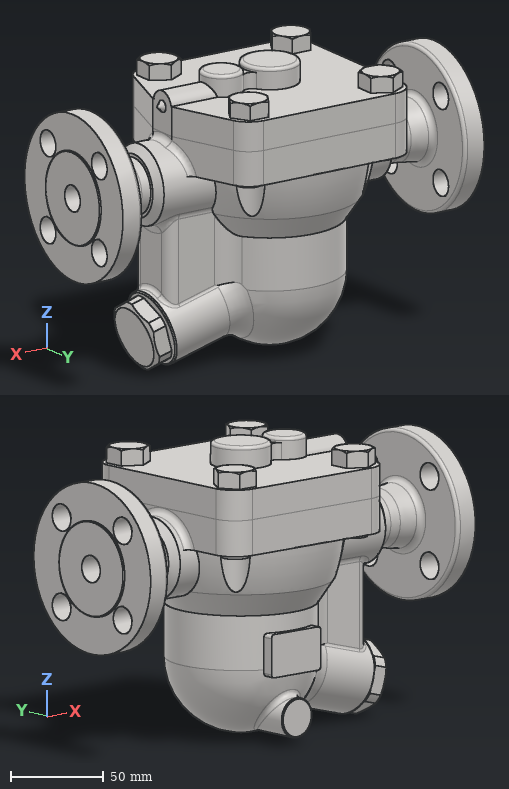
import math

import cadquery as cq


PIPE_MID_X = 10.0
PIPE_HALF_LENGTH = 119.5
PIPE_RADIUS = 16.0
PIPE_BORE_DIA = 15.0
PIPE_BORE_DEPTH = 40.0
HUB_RADIUS = 23.0
HUB_TIP_RADIUS = 18.0
HUB_TIP_LENGTH = 4.0
HUB_HALF_LENGTH = 79.0
FLANGE_RADIUS = 47.5
FLANGE_BACK = 105.5
FLANGE_EDGE_FILLET = 2.0
RAISED_FACE_RADIUS = 26.0
RAISED_FACE_HEIGHT = 0.8
RAISED_FACE_TAPER = 0.5
NECK_LARGE_RADIUS = 18.0
NECK_SMALL_RADIUS = 16.5
NECK_ROOT_FILLET = 3.5
NECK_TAPER_LENGTH = 10.5
NECK_BLEND_LENGTH = 6.5
FLANGE_HOLE_DIA = 15.0
FLANGE_HOLE_CIRCLE = 70.0

PLATE_BOTTOM_Z = 7.2
PLATE_SPLIT_Z = 27.2
PLATE_TOP_Z = 44.0
PLATE_HALF_WIDTH = 57.5
BOLT_OFFSET = 43.3
PLATE_CORNER_RADIUS = PLATE_HALF_WIDTH - BOLT_OFFSET
PLATE_TIP_X = 70.5
PLATE_TIP_HALF_WIDTH = 9.0
HUB_FILLET = 4.0

BOLT_FLATS = 21.0
BOLT_HEAD_HEIGHT = 9.3
BOLT_END_DIA = 15.0
BOLT_END_LENGTH = 2.8
BOLT_CLEARANCE_RADIUS = 9.5

BOSS_TOP_Z = 56.6
BOSS_EDGE_FILLET = 2.0
MAIN_BOSS_RADIUS = 16.5
SIDE_BOSS_RADIUS = 12.0
SIDE_BOSS_X = 31.8
NECK_WEB_TOP_Z = 53.3
NECK_WEB_RADIUS = 5.0
RIB_RADIUS = 8.8
RIB_AXIS_Z = 42.0
RIB_POINT_RADIUS = 3.4
RIB_POINT_LENGTH = 3.6

BOWL_TOP_RADIUS = 57.3
BOWL_MID_RADIUS = 54.9
BOWL_MID_Z = -6.5
BOWL_SHOULDER_RADIUS = 51.2
BOWL_SHOULDER_Z = -18.6
DOME_RADIUS = 42.0
WALL_TOP_Z = -32.3
DOME_CENTRE_Z = -62.4

DUCT_HALF_WIDTH = 16.8
DUCT_END_X = 78.0
DUCT_EDGE_RADIUS = 6.6
DUCT_HUB_FILLET = 5.0
DUCT_BRANCH_FILLET = 3.0
DUCT_DIP = 8.0
BLEND_RADIUS = 16.0

STRAINER_TILT = 15.0
STRAINER_RADIUS = 22.0
STRAINER_LENGTH = 80.4
STRAINER_EDGE_CHAMFER = 0.8
PLUG_COLLAR_RADIUS = 13.5
PLUG_HEAD_START = 82.0
PLUG_HEAD_END = 92.0
PLUG_FLATS = 38.0
PLUG_HEAD_RADIUS = 20.5

PAD_CENTRE_X = 0.5
PAD_CENTRE_Z = -54.3
PAD_WIDTH = 36.0
PAD_HEIGHT = 24.0
PAD_FACE_Y = -44.3
PAD_CORNER_RADIUS = 2.0
DRAIN_RADIUS = 11.0
DRAIN_Z = -90.3
DRAIN_FACE_Y = -45.8
DRAIN_CHAMFER = 0.6
DRAIN_FILLET = 3.0

HEAD_CHAMFER_ANGLE = 30.0
MARGIN = 1.0
BOLT_CORNERS = [(sx * BOLT_OFFSET, sy * BOLT_OFFSET) for sx in (-1, 1) for sy in (-1, 1)]


def hex_head(flats, height, envelope_radius=None):
    """Hexagon along +Z with corners on X and a conical chamfer at its far end.

    An envelope radius smaller than the corner radius rounds the six corners.
    """
    corner = flats / 2 / math.cos(math.pi / 6)
    outer = envelope_radius or corner
    chamfer_radius = flats / 2 - (corner - outer)
    drop = (outer - chamfer_radius) * math.tan(math.radians(HEAD_CHAMFER_ANGLE))
    prism = cq.Workplane("XY").polygon(6, 2 * corner).extrude(height)
    envelope = (
        cq.Workplane("XZ")
        .polyline([(0, 0), (outer, 0), (outer, height - drop), (chamfer_radius, height), (0, height)])
        .close()
        .revolve(360, (0, 0, 0), (0, 1, 0))
    )
    return prism.intersect(envelope)


def joint_plate(bottom, top):
    """Plate outline: three straight sides and a blunt point at +X."""
    dx = PLATE_TIP_X - BOLT_OFFSET
    dy = BOLT_OFFSET - PLATE_TIP_HALF_WIDTH
    tangent_angle = math.acos(PLATE_CORNER_RADIUS / math.hypot(dx, dy)) - math.atan2(dy, dx)

    def corner_point(angle):
        x = BOLT_OFFSET + PLATE_CORNER_RADIUS * math.cos(angle)
        y = BOLT_OFFSET + PLATE_CORNER_RADIUS * math.sin(angle)
        return x, y

    tangent = corner_point(tangent_angle)
    middle = corner_point((tangent_angle + math.pi / 2) / 2)
    return (
        cq.Workplane("XY", origin=(0, 0, bottom))
        .moveTo(-PLATE_HALF_WIDTH, -PLATE_HALF_WIDTH)
        .lineTo(BOLT_OFFSET, -PLATE_HALF_WIDTH)
        .threePointArc((middle[0], -middle[1]), (tangent[0], -tangent[1]))
        .lineTo(PLATE_TIP_X, -PLATE_TIP_HALF_WIDTH)
        .lineTo(PLATE_TIP_X, PLATE_TIP_HALF_WIDTH)
        .lineTo(*tangent)
        .threePointArc(middle, (BOLT_OFFSET, PLATE_HALF_WIDTH))
        .lineTo(-PLATE_HALF_WIDTH, PLATE_HALF_WIDTH)
        .close()
        .extrude(top - bottom)
        .edges("|Z and <X")
        .fillet(PLATE_CORNER_RADIUS)
    )


def hub():
    """Straight part of the pipe hubs, through the body."""
    half = HUB_HALF_LENGTH - HUB_TIP_LENGTH
    return cq.Workplane("YZ", origin=(PIPE_MID_X - half, 0, 0)).circle(HUB_RADIUS).extrude(2 * half)


def body_plate():
    """Lower joint plate, filleted onto the hubs and ending flat underneath."""
    tall = joint_plate(-PLATE_SPLIT_Z, PLATE_SPLIT_Z).union(hub())
    ring_zone = cq.selectors.BoxSelector(
        (-PLATE_HALF_WIDTH - MARGIN, -HUB_RADIUS - MARGIN, -HUB_RADIUS - MARGIN),
        (PLATE_TIP_X + MARGIN, HUB_RADIUS + MARGIN, HUB_RADIUS + MARGIN),
    )
    tall = tall.edges(ring_zone).edges("not |X").edges("not |Z").fillet(HUB_FILLET)
    box_size = 2 * PIPE_HALF_LENGTH
    keep = cq.Workplane("XY", origin=(0, 0, PLATE_BOTTOM_Z)).rect(box_size, box_size).extrude(PLATE_SPLIT_Z)
    return tall.intersect(keep)


def bowl():
    profile = (
        cq.Workplane("XZ")
        .moveTo(0, PLATE_BOTTOM_Z)
        .lineTo(BOWL_TOP_RADIUS, PLATE_BOTTOM_Z)
        .threePointArc((BOWL_MID_RADIUS, BOWL_MID_Z), (BOWL_SHOULDER_RADIUS, BOWL_SHOULDER_Z))
        .lineTo(DOME_RADIUS, WALL_TOP_Z)
        .lineTo(DOME_RADIUS, DOME_CENTRE_Z)
        .radiusArc((0, DOME_CENTRE_Z - DOME_RADIUS), DOME_RADIUS)
        .close()
    )
    shape = profile.revolve(360, (0, 0, 0), (0, 1, 0))
    clearance = (
        cq.Workplane("XY", origin=(0, 0, PLATE_BOTTOM_Z))
        .pushPoints(BOLT_CORNERS)
        .circle(BOLT_CLEARANCE_RADIUS)
        .extrude(WALL_TOP_Z - PLATE_BOTTOM_Z)
    )
    return shape.cut(clearance)


def drain_boss():
    return (
        cq.Workplane("XZ", origin=(0, 0, DRAIN_Z))
        .circle(DRAIN_RADIUS)
        .extrude(-DRAIN_FACE_Y)
        .faces("<Y")
        .edges()
        .chamfer(DRAIN_CHAMFER)
    )


def bowl_with_drain():
    near_drain = cq.selectors.BoxSelector(
        (-DRAIN_RADIUS - MARGIN, DRAIN_FACE_Y + 2 * MARGIN, DRAIN_Z - DRAIN_RADIUS - MARGIN),
        (DRAIN_RADIUS + MARGIN, -MARGIN, DRAIN_Z + DRAIN_RADIUS + MARGIN),
    )
    return bowl().union(drain_boss()).edges(near_drain).edges("not |Y").fillet(DRAIN_FILLET)


def along_strainer(shape):
    """Move a shape built along +Z onto the tilted strainer axis."""
    return shape.rotate((0, 0, 0), (0, 1, 0), 90 + STRAINER_TILT).translate((0, 0, DOME_CENTRE_Z))


def duct_blend():
    """Flared root of the duct, blended into the bowl wall by two tangent arcs."""
    blend_y = DUCT_HALF_WIDTH + BLEND_RADIUS
    blend_x = math.sqrt((DOME_RADIUS + BLEND_RADIUS) ** 2 - blend_y**2)
    ratio = DOME_RADIUS / (DOME_RADIUS + BLEND_RADIUS)
    wall_x = blend_x * ratio
    wall_y = blend_y * ratio
    return (
        cq.Workplane("XY", origin=(0, 0, DOME_CENTRE_Z))
        .moveTo(0, -wall_y)
        .lineTo(wall_x, -wall_y)
        .radiusArc((blend_x, -DUCT_HALF_WIDTH), BLEND_RADIUS)
        .lineTo(blend_x, DUCT_HALF_WIDTH)
        .radiusArc((wall_x, wall_y), BLEND_RADIUS)
        .lineTo(0, wall_y)
        .close()
        .extrude(-DOME_CENTRE_Z)
    )


def duct():
    """Upright duct, filleted onto the hub above it and the branch below it."""
    start_x = STRAINER_RADIUS
    bottom_z = DOME_CENTRE_Z - DUCT_DIP
    column = (
        cq.Workplane("XY", origin=(start_x, 0, bottom_z))
        .rect(DUCT_END_X - start_x, 2 * DUCT_HALF_WIDTH, centered=(False, True))
        .extrude(-bottom_z)
        .edges("|Z and >X")
        .fillet(DUCT_EDGE_RADIUS)
    )
    branch_core = cq.Workplane("XY").circle(STRAINER_RADIUS).extrude(STRAINER_LENGTH - STRAINER_EDGE_CHAMFER)
    joined = column.union(hub()).union(along_strainer(branch_core))
    for low_z, high_z, fillet in (
        (WALL_TOP_Z, -MARGIN, DUCT_HUB_FILLET),
        (bottom_z + MARGIN, WALL_TOP_Z, DUCT_BRANCH_FILLET),
    ):
        joint_zone = cq.selectors.BoxSelector(
            (start_x + MARGIN, -STRAINER_RADIUS, low_z), (DUCT_END_X + MARGIN, STRAINER_RADIUS, high_z)
        )
        joined = joined.edges(joint_zone).edges("not |Z").fillet(fillet)
    return joined


def strainer():
    """Branch and plug about the strainer axis, flared into the dome."""
    blend_r = STRAINER_RADIUS + BLEND_RADIUS
    blend_z = math.sqrt((DOME_RADIUS + BLEND_RADIUS) ** 2 - blend_r**2)
    ratio = DOME_RADIUS / (DOME_RADIUS + BLEND_RADIUS)
    branch = (
        cq.Workplane("XZ")
        .lineTo(0, STRAINER_LENGTH)
        .lineTo(STRAINER_RADIUS - STRAINER_EDGE_CHAMFER, STRAINER_LENGTH)
        .lineTo(STRAINER_RADIUS, STRAINER_LENGTH - STRAINER_EDGE_CHAMFER)
        .lineTo(STRAINER_RADIUS, blend_z)
        .radiusArc((blend_r * ratio, blend_z * ratio), -BLEND_RADIUS)
        .lineTo(0, 0)
        .close()
        .revolve(360, (0, 0, 0), (0, 1, 0))
    )
    collar = cq.Workplane("XY").circle(PLUG_COLLAR_RADIUS).extrude(PLUG_HEAD_START)
    head = hex_head(PLUG_FLATS, PLUG_HEAD_END - PLUG_HEAD_START, PLUG_HEAD_RADIUS)
    head = head.translate((0, 0, PLUG_HEAD_START))
    return along_strainer(branch.union(collar).union(head))


def nameplate_pad():
    return (
        cq.Workplane("XZ", origin=(PAD_CENTRE_X, 0, PAD_CENTRE_Z))
        .rect(PAD_WIDTH, PAD_HEIGHT)
        .extrude(-PAD_FACE_Y)
        .edges("|Y")
        .fillet(PAD_CORNER_RADIUS)
    )


def pipe_end(side):
    """Hub tip, neck and drilled flange; side is -1 or +1 along X."""
    neck_start = FLANGE_BACK - NECK_ROOT_FILLET
    taper_start = neck_start - NECK_TAPER_LENGTH
    flange_face = PIPE_HALF_LENGTH - RAISED_FACE_HEIGHT
    shape = (
        cq.Workplane("XY")
        .moveTo(HUB_HALF_LENGTH - HUB_TIP_LENGTH, 0)
        .lineTo(HUB_HALF_LENGTH - HUB_TIP_LENGTH, HUB_RADIUS)
        .lineTo(HUB_HALF_LENGTH, HUB_TIP_RADIUS)
        .lineTo(HUB_HALF_LENGTH, PIPE_RADIUS)
        .lineTo(taper_start - NECK_BLEND_LENGTH, PIPE_RADIUS)
        .lineTo(taper_start, NECK_SMALL_RADIUS)
        .lineTo(neck_start, NECK_LARGE_RADIUS)
        .radiusArc((FLANGE_BACK, NECK_LARGE_RADIUS + NECK_ROOT_FILLET), -NECK_ROOT_FILLET)
        .lineTo(FLANGE_BACK, FLANGE_RADIUS - FLANGE_EDGE_FILLET)
        .radiusArc((FLANGE_BACK + FLANGE_EDGE_FILLET, FLANGE_RADIUS), FLANGE_EDGE_FILLET)
        .lineTo(flange_face, FLANGE_RADIUS)
        .lineTo(flange_face, RAISED_FACE_RADIUS + RAISED_FACE_TAPER)
        .lineTo(PIPE_HALF_LENGTH, RAISED_FACE_RADIUS)
        .lineTo(PIPE_HALF_LENGTH, 0)
        .close()
        .revolve(360, (0, 0, 0), (1, 0, 0))
    )
    pitch = FLANGE_HOLE_CIRCLE / math.sqrt(2)
    holes = (
        cq.Workplane("YZ", origin=(FLANGE_BACK, 0, 0))
        .rect(pitch, pitch, forConstruction=True)
        .vertices()
        .circle(FLANGE_HOLE_DIA / 2)
        .extrude(PIPE_HALF_LENGTH - FLANGE_BACK)
    )
    bore = (
        cq.Workplane("YZ", origin=(PIPE_HALF_LENGTH - PIPE_BORE_DEPTH, 0, 0))
        .circle(PIPE_BORE_DIA / 2)
        .extrude(PIPE_BORE_DEPTH)
    )
    shape = shape.cut(holes).cut(bore)
    if side < 0:
        shape = shape.mirror("YZ")
    return shape.translate((PIPE_MID_X, 0, 0))


def cover_boss(x, radius):
    return (
        cq.Workplane("XY", origin=(x, 0, PLATE_TOP_Z))
        .circle(radius)
        .extrude(BOSS_TOP_Z - PLATE_TOP_Z)
        .faces(">Z")
        .edges()
        .fillet(BOSS_EDGE_FILLET)
    )


def boss_web():
    """Web between the two bosses, waisted by arcs tangent to both."""
    main_reach = MAIN_BOSS_RADIUS + NECK_WEB_RADIUS
    side_reach = SIDE_BOSS_RADIUS + NECK_WEB_RADIUS
    waist_x = (main_reach**2 - side_reach**2 + SIDE_BOSS_X**2) / (2 * SIDE_BOSS_X)
    waist_y = math.sqrt(main_reach**2 - waist_x**2)
    height = NECK_WEB_TOP_Z - PLATE_TOP_Z
    web = (
        cq.Workplane("XY", origin=(0, 0, PLATE_TOP_Z))
        .polyline([(0, 0), (waist_x, -waist_y), (SIDE_BOSS_X, 0), (waist_x, waist_y)])
        .close()
        .extrude(height)
    )
    waists = (
        cq.Workplane("XY", origin=(0, 0, PLATE_TOP_Z))
        .pushPoints([(waist_x, -waist_y), (waist_x, waist_y)])
        .circle(NECK_WEB_RADIUS)
        .extrude(height)
    )
    return web.cut(waists)


def cover_rib():
    rib = (
        cq.Workplane("YZ", origin=(SIDE_BOSS_X, 0, RIB_AXIS_Z))
        .circle(RIB_RADIUS)
        .extrude(PLATE_TIP_X - SIDE_BOSS_X)
    )
    point = cq.Solid.makeCone(
        RIB_POINT_RADIUS, 0, RIB_POINT_LENGTH, cq.Vector(PLATE_TIP_X, 0, RIB_AXIS_Z), cq.Vector(1, 0, 0)
    )
    return rib.union(cq.Workplane(point))


def bolt(x, y):
    turn = 90 if x * y < 0 else 0
    head = hex_head(BOLT_FLATS, BOLT_HEAD_HEIGHT).rotate((0, 0, 0), (0, 0, 1), turn)
    end = (
        cq.Workplane("XY", origin=(x, y, PLATE_BOTTOM_Z - BOLT_END_LENGTH))
        .circle(BOLT_END_DIA / 2)
        .extrude(PLATE_TOP_Z - PLATE_BOTTOM_Z + BOLT_END_LENGTH)
    )
    return head.translate((x, y, PLATE_TOP_Z)).union(end)


def cover():
    shape = joint_plate(PLATE_SPLIT_Z, PLATE_TOP_Z)
    shape = shape.union(cover_rib())
    shape = shape.union(cover_boss(0, MAIN_BOSS_RADIUS))
    shape = shape.union(cover_boss(SIDE_BOSS_X, SIDE_BOSS_RADIUS))
    return shape.union(boss_web())


def body():
    shape = bowl_with_drain().union(duct_blend()).union(duct()).union(strainer())
    shape = shape.union(hub()).union(body_plate()).union(nameplate_pad())
    return shape.union(pipe_end(-1)).union(pipe_end(1))


result = body().union(cover(), clean=False)
for bolt_x, bolt_y in BOLT_CORNERS:
    result = result.union(bolt(bolt_x, bolt_y), clean=False)